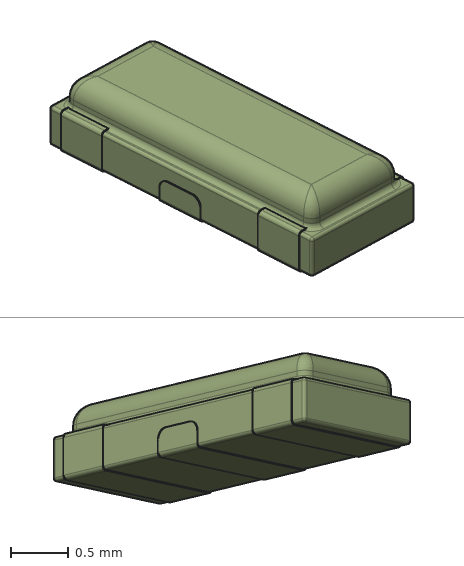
import cadquery as cq

base_length = 3.2
base_width = 1.3
base_height = 0.4
base_edge_radius = 0.03

lens_inset = 0.1
lens_height = 0.3
lens_edge_radius = 0.2
lens_corner_radius = 0.1
lens_foot_radius = 0.05
lens_length = base_length - 2 * lens_inset
lens_width = base_width - 2 * lens_inset

contact_thickness = 0.01
contact_length = 0.5
contact_end_inset = 0.15
contact_edge_radius = base_edge_radius + contact_thickness
end_contact_x = base_length / 2 - contact_end_inset - contact_length / 2
side_contact_height = 0.24
side_contact_corner_radius = 0.1


def make_base():
    block = cq.Workplane("XY").box(base_length, base_width, base_height, centered=(True, True, False))
    return block.edges().fillet(base_edge_radius)


def make_lens():
    """Block with a well rounded rim; its corner fillets taper to a point on the flat top."""
    block = (
        cq.Workplane("XY")
        .workplane(offset=base_height)
        .box(lens_length, lens_width, lens_height, centered=(True, True, False))
    )
    rounded = block.faces(">Z").edges().fillet(lens_edge_radius)
    return rounded.edges("|Z").fillet(lens_corner_radius)


def blend_lens_foot(body):
    """Concave fillet where the lens walls meet the top of the base."""
    margin = lens_foot_radius / 2
    foot_zone = cq.selectors.BoxSelector(
        (-lens_length / 2 - margin, -lens_width / 2 - margin, base_height - margin),
        (lens_length / 2 + margin, lens_width / 2 + margin, base_height + margin),
        boundingbox=True,
    )
    return body.edges(foot_zone).fillet(lens_foot_radius)


def make_contact_band(x_center):
    """Thin sleeve around the base, with rounded edges along X."""
    band = cq.Workplane("XY").box(
        contact_length,
        base_width + 2 * contact_thickness,
        base_height + 2 * contact_thickness,
    )
    band = band.edges("|X").fillet(contact_edge_radius)
    return band.translate((x_center, 0, base_height / 2))


def make_side_contact():
    """Middle contact, lower than the base, with rounded upper corners."""
    height = side_contact_height + contact_thickness
    tab = (
        cq.Workplane("XY")
        .workplane(offset=-contact_thickness)
        .box(contact_length, 2 * base_width, height, centered=(True, True, False))
        .edges("|Y and >Z")
        .fillet(side_contact_corner_radius)
    )
    return make_contact_band(0).intersect(tab)


result = blend_lens_foot(make_base().union(make_lens()))
for x_center in (-end_contact_x, end_contact_x):
    result = result.union(make_contact_band(x_center))
result = result.union(make_side_contact())